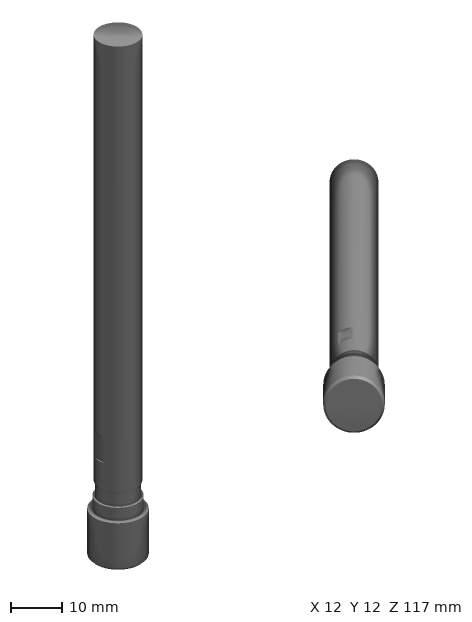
import cadquery as cq

head_diameter = 12.0
head_height = 10.7
head_chamfer = 0.5

collar_diameter = 10.0
collar_height = 2.9

neck_diameter = 9.0
neck_height = 3.4

shank_diameter = 9.5
shank_length = 100.0

flat_spacing = 9.0
flat_height = 6.0
flat_offset = 6.0

collar_base = head_height
neck_base = collar_base + collar_height
shank_base = neck_base + neck_height


def cylinder(diameter, height, base):
    """Solid cylinder on the Z axis, starting at height base."""
    return cq.Workplane("XY").workplane(offset=base).circle(diameter / 2).extrude(height)


def make_head():
    """Cylindrical head with its bottom edge chamfered."""
    head = cylinder(head_diameter, head_height, 0)
    return head.faces("<Z").chamfer(head_chamfer)


def make_shank():
    """Long shank with a shallow flat cut into each of two opposite sides."""
    shank = cylinder(shank_diameter, shank_length, shank_base)
    cutter_depth = shank_diameter / 2
    for side in (-1, 1):
        cutter = cq.Workplane("XY").box(
            shank_diameter, cutter_depth, flat_height, centered=(True, True, False)
        )
        cutter_y = side * (flat_spacing + cutter_depth) / 2
        shank = shank.cut(cutter.translate((0, cutter_y, shank_base + flat_offset)))
    return shank


collar = cylinder(collar_diameter, collar_height, collar_base)
neck = cylinder(neck_diameter, neck_height, neck_base)

result = make_head().union(collar).union(neck).union(make_shank())